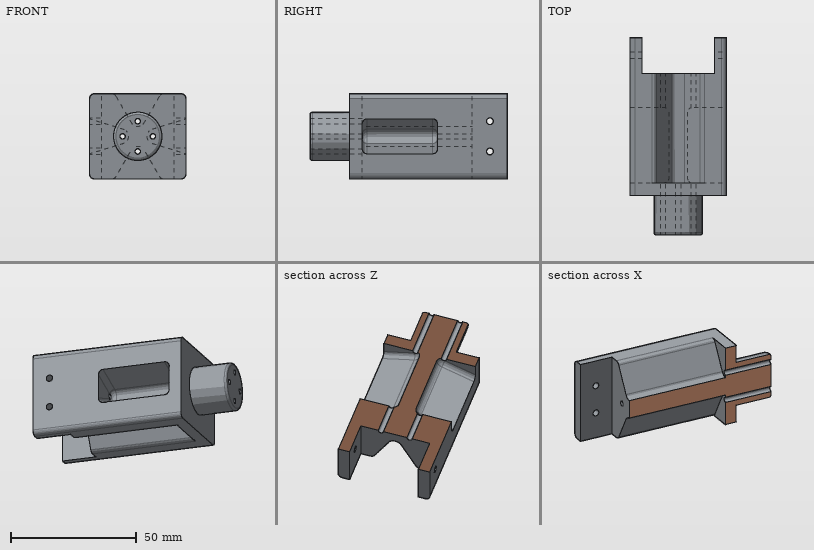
import cadquery as cq
import math

total_length = 78.45
boss_length = 15.7
body_width = 38.4
body_height = 34.0
body_length = total_length - boss_length
body_edge_radius = 2.05

cheek_thickness = 4.9
fork_depth = 14.2
cheek_hole_diameter = 2.6
cheek_hole_setback = 7.0

boss_diameter = 19.2
boss_edge_radius = 0.95
bore_diameter = 2.05
hole_spacing = 12.0
hole_offset = hole_spacing / 2

end_wall = 5.0
groove_root_radius = 3.0
trough_mouth_width = 21.0
trough_mouth_radius = 2.2
trough_half_angle = 30
pocket_mouth_width = 13.9
pocket_half_angle = 17
pocket_length = 30.0
pocket_corner_radius = 2.0


def vee_recess(mouth_half, half_angle, face_distance, length):
    """Rounded V opening toward +Z at face_distance, starting at the end wall."""
    angle = math.radians(half_angle)
    apex_z = face_distance - mouth_half / math.tan(angle)
    root_centre_z = apex_z + groove_root_radius / math.sin(angle)
    root_x = groove_root_radius * math.cos(angle)
    root_z = root_centre_z - groove_root_radius * math.sin(angle)
    return (
        cq.Workplane("XZ", origin=(0, end_wall, 0))
        .moveTo(-mouth_half, face_distance)
        .lineTo(-root_x, root_z)
        .threePointArc((0, root_centre_z - groove_root_radius), (root_x, root_z))
        .lineTo(mouth_half, face_distance)
        .close()
        .extrude(-length)
    )


def trough():
    """Recess with rounded mouth edges, open into the fork."""
    face_z = body_height / 2
    angle = math.radians(trough_half_angle)
    length = body_length - fork_depth - end_wall
    half_turn = math.pi / 4 - angle / 2
    tangent = trough_mouth_radius * math.tan(half_turn)
    tangent_x = trough_mouth_width / 2
    sharp_half = tangent_x - tangent
    wall_x = sharp_half - tangent * math.sin(angle)
    wall_z = face_z - tangent * math.cos(angle)
    arc_x = tangent_x - trough_mouth_radius * math.sin(half_turn)
    arc_z = face_z - trough_mouth_radius * (1 - math.cos(half_turn))
    recess = vee_recess(sharp_half, trough_half_angle, face_z, length)
    mouth = (
        cq.Workplane("XZ", origin=(0, end_wall, 0))
        .moveTo(-tangent_x, face_z)
        .threePointArc((-arc_x, arc_z), (-wall_x, wall_z))
        .lineTo(wall_x, wall_z)
        .threePointArc((arc_x, arc_z), (tangent_x, face_z))
        .close()
        .extrude(-length)
    )
    return recess.union(mouth)


def pocket():
    """Closed recess with rounded end corners, turned to open toward -X."""
    recess = vee_recess(pocket_mouth_width / 2, pocket_half_angle, body_width / 2, pocket_length)
    recess = recess.faces("<Y or >Y").edges("not >Z").fillet(pocket_corner_radius)
    return recess.rotate((0, 0, 0), (0, 1, 0), -90)


def body():
    block = (
        cq.Workplane("XY")
        .box(body_width, body_length, body_height, centered=(True, False, True))
        .edges("|Y")
        .fillet(body_edge_radius)
    )
    fork_gap = cq.Workplane("XY").box(
        body_width - 2 * cheek_thickness, fork_depth, body_height, centered=(True, False, True)
    )
    return block.cut(fork_gap.translate((0, body_length - fork_depth, 0)))


def boss():
    return (
        cq.Workplane("XZ")
        .circle(boss_diameter / 2)
        .extrude(boss_length)
        .faces("<Y")
        .edges()
        .fillet(boss_edge_radius)
    )


def bores():
    return (
        cq.Workplane("XZ", origin=(0, -boss_length, 0))
        .polarArray(hole_offset, 0, 360, 4)
        .circle(bore_diameter / 2)
        .extrude(-total_length)
    )


def cheek_holes():
    hole_y = body_length - cheek_hole_setback
    return (
        cq.Workplane("YZ", origin=(-body_width / 2, 0, 0))
        .pushPoints([(hole_y, -hole_offset), (hole_y, hole_offset)])
        .circle(cheek_hole_diameter / 2)
        .extrude(body_width)
    )


result = body().union(boss())
for recess in (trough(), pocket()):
    for side_angle in (0, 180):
        result = result.cut(recess.rotate((0, 0, 0), (0, 1, 0), side_angle))
result = result.cut(bores()).cut(cheek_holes())